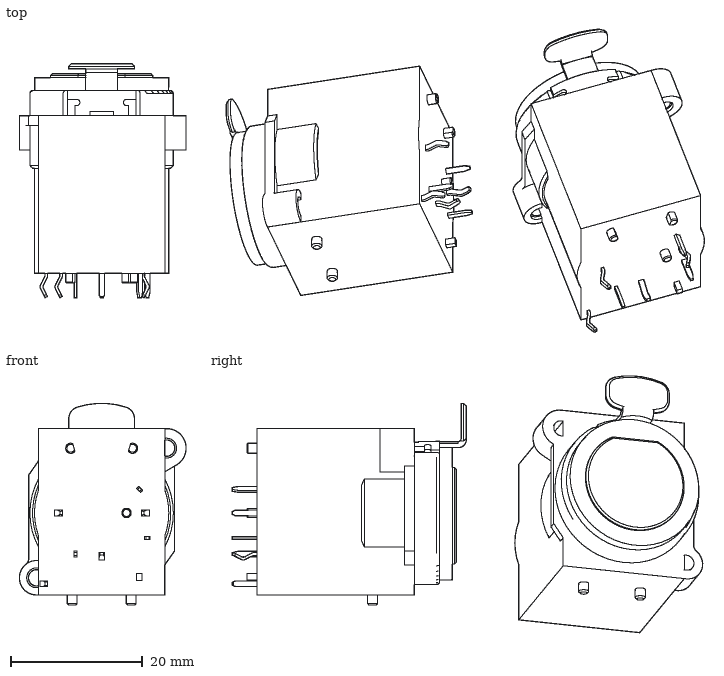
import cadquery as cq
import math


BODY_HALF_WIDTH = 9.57
BODY_TOP = 12.8
BODY_BOTTOM = -12.45
BODY_BACK = -23.9

BARREL_RADIUS = 10.18
BARREL_FRONT = 5.75
COLLAR_RADIUS = 10.87
COLLAR_FRONT = 3.83
COLLAR_BACK = -8.0
COLLAR_FRONT_FILLET = 0.5
COLLAR_BACK_CHAMFER = 0.4
FACE_DISK_RADIUS = 7.77
FACE_DISK_FRONT = 6.35
FACE_DISK_FLAT = 6.9
FACE_DISK_CHAMFER = 0.3

FLANGE_HALF_WIDTH = 11.07
FLANGE_THICKNESS = 1.5
FLANGE_CORNER_OUTER = 5.75
FLANGE_CORNER_INNER = 7.9
FLANGE_FILLET = 1.06
LUG_DEPTH = 5.25
UPPER_LUG_RADIUS = 2.97
UPPER_LUG = (9.85, BODY_TOP - UPPER_LUG_RADIUS)
LOWER_LUG_RADIUS = 2.62
LOWER_LUG = (-9.86, BODY_BOTTOM + LOWER_LUG_RADIUS)
UPPER_LUG_WEB_ANGLE = 30.0
MOUNT_HOLE_RADIUS = 1.22
MOUNT_RECESS_RADIUS = 1.5
MOUNT_RECESS_DEPTH = 0.5

GAP_HALF_WIDTH = 5.17
GAP_MOUTH_HALF_WIDTH = 5.83
BUTTON_FOOT_HALF_WIDTH = 4.05
NOTCH_BACK = 1.5
NOTCH_FRONT = 2.47
NOTCH_TIP = 3.3
BUTTON_RECESS_HALF_WIDTH = 1.8
BUTTON_RECESS_LENGTH = 0.6
BUTTON_RECESS_FLOOR = 10.6

TAB_STEM_WIDTH = 4.87
TAB_STEM_RADIUS = 10.8
TAB_FRONT = 7.86
TAB_THICKNESS = 0.8
TAB_TOP = 16.63
TAB_MID_HEIGHT = 13.65
TAB_HALF_WIDTH = 5.0
TAB_SIDE_HALF_HEIGHT = 0.95
TAB_CORNER_RADIUS = 1.9
TAB_INNER_BEND = 0.5
TAB_OUTER_BEND = 1.2
TAB_CHAMFER = 0.4

PEG_RADIUS = 0.77
ROUND_PEG_RADIUS = 0.71
PEG_LENGTH = 1.5
PEG_CHAMFER = 0.17
REAR_PEG_HEIGHT = 9.8
REAR_PEG_X = 4.68
REAR_PEG_FLAT_OFFSET = 0.48
REAR_PEG_FLAT_ANGLE = 16.0
ROUND_PEG = (3.77, 0.0)
BOTTOM_PEG_X = 4.47
BOTTOM_PEG_Y = -6.35
BOTTOM_PEG_LENGTH = 1.53
BOTTOM_PEG_CHAMFER = 0.25
KEY_BLOCK = (5.72, -9.7)
KEY_BLOCK_SIZE = (0.84, 1.05)

TERMINAL_WIDTH = 0.85
TERMINAL_THICKNESS = 0.43
TERMINAL_END = -27.63
KINKED_TAPER_LENGTH = 0.45
STRAIGHT_TAPER_LENGTH = 0.9
TERMINAL_ROOT = BODY_BACK + 0.5
KINK_START = -24.4
KINK_PEAK = -25.95
KINK_OFFSET = 0.78
KINK_FILLET = 0.45
KINKED_TERMINALS = [
    (-8.39, -10.73, 180.0),
    (-6.14, 0.0, 180.0),
    (6.26, 0.0, 0.0),
    (0.03, -6.2, 90.0),
]
STRAIGHT_TERMINALS = [
    (-3.96, -6.22, 0.0),
    (6.93, -3.8, 90.0),
    (5.77, 3.57, -45.0),
]


def section_plane(y):
    """Plane across the connector axis; it extrudes toward -Y."""
    return cq.Workplane("XZ", origin=(0, y, 0))


def cylinder(radius, front, back, center=(0, 0)):
    return section_plane(front).center(*center).circle(radius).extrude(front - back)


def make_body():
    height = BODY_TOP - BODY_BOTTOM
    middle = (BODY_TOP + BODY_BOTTOM) / 2
    block = section_plane(0).center(0, middle).rect(2 * BODY_HALF_WIDTH, height).extrude(-BODY_BACK)
    return block.union(cylinder(BARREL_RADIUS, BARREL_FRONT, BODY_BACK))


def make_collar():
    collar = cylinder(COLLAR_RADIUS, COLLAR_FRONT, COLLAR_BACK)
    collar = collar.faces(">Y").edges().fillet(COLLAR_FRONT_FILLET)
    collar = collar.faces("<Y").edges().chamfer(COLLAR_BACK_CHAMFER)
    floor_side = math.sqrt(BARREL_RADIUS**2 - GAP_HALF_WIDTH**2)
    mouth_side = math.sqrt(COLLAR_RADIUS**2 - GAP_MOUTH_HALF_WIDTH**2)
    gap = (
        section_plane(COLLAR_FRONT)
        .polyline([
            (-GAP_HALF_WIDTH, floor_side),
            (-GAP_MOUTH_HALF_WIDTH, mouth_side),
            (-GAP_MOUTH_HALF_WIDTH, COLLAR_RADIUS),
            (GAP_MOUTH_HALF_WIDTH, COLLAR_RADIUS),
            (GAP_MOUTH_HALF_WIDTH, mouth_side),
            (GAP_HALF_WIDTH, floor_side),
        ])
        .close()
        .extrude(COLLAR_FRONT)
        .cut(cylinder(BARREL_RADIUS, COLLAR_FRONT, 0))
    )
    return collar.cut(gap)


def make_button():
    notch_radius = (NOTCH_FRONT - NOTCH_BACK) / 2
    notch_middle = (NOTCH_FRONT + NOTCH_BACK) / 2
    notch_side = NOTCH_TIP + notch_radius
    outline = (
        cq.Workplane("XY")
        .moveTo(-BUTTON_FOOT_HALF_WIDTH, 0)
        .lineTo(BUTTON_FOOT_HALF_WIDTH, 0)
        .lineTo(BUTTON_FOOT_HALF_WIDTH, NOTCH_BACK)
        .lineTo(notch_side, NOTCH_BACK)
        .threePointArc((NOTCH_TIP, notch_middle), (notch_side, NOTCH_FRONT))
        .lineTo(GAP_HALF_WIDTH, NOTCH_FRONT)
        .lineTo(GAP_HALF_WIDTH, COLLAR_FRONT)
        .lineTo(-GAP_HALF_WIDTH, COLLAR_FRONT)
        .lineTo(-GAP_HALF_WIDTH, NOTCH_FRONT)
        .lineTo(-notch_side, NOTCH_FRONT)
        .threePointArc((-NOTCH_TIP, notch_middle), (-notch_side, NOTCH_BACK))
        .lineTo(-BUTTON_FOOT_HALF_WIDTH, NOTCH_BACK)
        .close()
        .extrude(COLLAR_RADIUS)
    )
    recess = (
        cq.Workplane("XY", origin=(0, 0, BUTTON_RECESS_FLOOR))
        .rect(2 * BUTTON_RECESS_HALF_WIDTH, 2 * BUTTON_RECESS_LENGTH)
        .extrude(COLLAR_RADIUS)
    )
    return outline.intersect(cylinder(COLLAR_RADIUS, COLLAR_FRONT, 0)).cut(recess)


def make_tab_stem():
    """Curved strip along the barrel, bent up into the root of the tab plate."""
    plate_back = TAB_FRONT - TAB_THICKNESS
    bend_start = plate_back - TAB_INNER_BEND
    inner_bend_height = TAB_STEM_RADIUS + TAB_INNER_BEND
    underside = math.sqrt(BARREL_RADIUS**2 - (TAB_STEM_WIDTH / 2) ** 2)
    outer_side = TAB_FRONT - TAB_OUTER_BEND
    outer_height = underside + TAB_OUTER_BEND
    diagonal = math.sqrt(0.5)
    inner_mid = (
        bend_start + TAB_INNER_BEND * diagonal,
        inner_bend_height - TAB_INNER_BEND * diagonal,
    )
    outer_mid = (
        outer_side + TAB_OUTER_BEND * diagonal,
        outer_height - TAB_OUTER_BEND * diagonal,
    )
    stem = (
        cq.Workplane("YZ")
        .moveTo(COLLAR_FRONT, underside)
        .lineTo(outer_side, underside)
        .threePointArc(outer_mid, (TAB_FRONT, outer_height))
        .lineTo(TAB_FRONT, inner_bend_height)
        .lineTo(plate_back, inner_bend_height)
        .threePointArc(inner_mid, (bend_start, TAB_STEM_RADIUS))
        .lineTo(COLLAR_FRONT, TAB_STEM_RADIUS)
        .close()
        .extrude(TAB_STEM_WIDTH / 2, both=True)
    )
    straight_zone = section_plane(bend_start).rect(4 * COLLAR_RADIUS, 4 * COLLAR_RADIUS).extrude(bend_start)
    above_stem = straight_zone.cut(cylinder(TAB_STEM_RADIUS, bend_start, 0))
    return stem.cut(above_stem).cut(cylinder(BARREL_RADIUS, TAB_FRONT, 0))


def make_tab_plate():
    half_height = TAB_TOP - TAB_MID_HEIGHT
    shoulder = TAB_SIDE_HALF_HEIGHT + TAB_CORNER_RADIUS / 2
    plate = (
        section_plane(TAB_FRONT)
        .center(0, TAB_MID_HEIGHT)
        .moveTo(-TAB_HALF_WIDTH, -shoulder)
        .lineTo(-TAB_HALF_WIDTH, shoulder)
        .threePointArc((0, half_height), (TAB_HALF_WIDTH, shoulder))
        .lineTo(TAB_HALF_WIDTH, -shoulder)
        .threePointArc((0, -half_height), (-TAB_HALF_WIDTH, -shoulder))
        .close()
        .extrude(TAB_THICKNESS)
        .edges("|Y")
        .fillet(TAB_CORNER_RADIUS)
    )
    plate = plate.faces(">Y").edges().chamfer(TAB_CHAMFER)
    bend_zone = section_plane(TAB_FRONT).rect(TAB_STEM_WIDTH, 2 * (TAB_STEM_RADIUS + TAB_INNER_BEND))
    return plate.cut(bend_zone.extrude(TAB_THICKNESS))


def make_face_disk():
    disk = cylinder(FACE_DISK_RADIUS, FACE_DISK_FRONT, 0)
    flat = (
        section_plane(FACE_DISK_FRONT)
        .center(0, FACE_DISK_FLAT + FACE_DISK_RADIUS)
        .rect(2 * FACE_DISK_RADIUS, 2 * FACE_DISK_RADIUS)
        .extrude(FACE_DISK_FRONT)
    )
    return disk.cut(flat).faces(">Y").edges().chamfer(FACE_DISK_CHAMFER)


def make_flange():
    """Plate with two cut corners, flared into the lower lug."""
    half = FLANGE_HALF_WIDTH
    plate = (
        section_plane(0)
        .polyline([
            (-half, FLANGE_CORNER_OUTER),
            (-BODY_HALF_WIDTH, FLANGE_CORNER_INNER),
            (BODY_HALF_WIDTH, UPPER_LUG[1]),
            (half, UPPER_LUG[1]),
            (half, -FLANGE_CORNER_OUTER),
            (BODY_HALF_WIDTH, -FLANGE_CORNER_INNER),
            (-BODY_HALF_WIDTH, LOWER_LUG[1]),
            (-half, LOWER_LUG[1]),
        ])
        .close()
        .extrude(FLANGE_THICKNESS)
    )
    plate = plate.union(cylinder(LOWER_LUG_RADIUS, 0, -FLANGE_THICKNESS, LOWER_LUG))
    reach = half + LOWER_LUG[0]
    joint_height = LOWER_LUG[1] + math.sqrt(LOWER_LUG_RADIUS**2 - reach**2)
    joint = cq.NearestToPointSelector((-half, -FLANGE_THICKNESS / 2, joint_height))
    return plate.edges("|Y").edges(joint).fillet(FLANGE_FILLET)


def make_lugs():
    upper = cylinder(UPPER_LUG_RADIUS, 0, -LUG_DEPTH, UPPER_LUG)
    lower = cylinder(LOWER_LUG_RADIUS, 0, -LUG_DEPTH, LOWER_LUG)
    angle = math.radians(UPPER_LUG_WEB_ANGLE)
    tangent_x = UPPER_LUG[0] + UPPER_LUG_RADIUS * math.sin(angle)
    tangent_z = UPPER_LUG[1] - UPPER_LUG_RADIUS * math.cos(angle)
    wall_z = tangent_z - (tangent_x - BODY_HALF_WIDTH) * math.tan(angle)
    web = (
        section_plane(0)
        .polyline([
            UPPER_LUG,
            (tangent_x, tangent_z),
            (BODY_HALF_WIDTH, wall_z),
            (BODY_HALF_WIDTH, UPPER_LUG[1]),
        ])
        .close()
        .extrude(LUG_DEPTH)
    )
    return upper.union(web).union(lower)


def mounting_hole(center):
    hole = cylinder(MOUNT_HOLE_RADIUS, 0, -LUG_DEPTH, center)
    recess = cylinder(MOUNT_RECESS_RADIUS, MOUNT_RECESS_DEPTH - LUG_DEPTH, -LUG_DEPTH, center)
    return hole.union(recess)


def rear_peg(center, radius):
    peg = cylinder(radius, BODY_BACK, BODY_BACK - PEG_LENGTH, center)
    return peg.faces("<Y").edges().chamfer(PEG_CHAMFER)


def flatted_peg(side):
    """Rear peg with a flat that faces the middle of the part and slightly upward."""
    center = (side * REAR_PEG_X, REAR_PEG_HEIGHT)
    flat_turn = REAR_PEG_FLAT_ANGLE if side < 0 else 180 - REAR_PEG_FLAT_ANGLE
    cutter = (
        section_plane(BODY_BACK)
        .transformed(offset=(center[0], center[1], 0), rotate=(0, 0, flat_turn))
        .center(REAR_PEG_FLAT_OFFSET + PEG_RADIUS, 0)
        .rect(2 * PEG_RADIUS, 4 * PEG_RADIUS)
        .extrude(PEG_LENGTH)
    )
    return rear_peg(center, PEG_RADIUS).cut(cutter)


def bottom_peg(x):
    peg = (
        cq.Workplane("XY", origin=(x, BOTTOM_PEG_Y, BODY_BOTTOM))
        .circle(PEG_RADIUS)
        .extrude(-BOTTOM_PEG_LENGTH)
    )
    return peg.faces("<Z").edges().chamfer(BOTTOM_PEG_CHAMFER)


def key_block():
    return section_plane(BODY_BACK).center(*KEY_BLOCK).rect(*KEY_BLOCK_SIZE).extrude(PEG_LENGTH)


def sweep_strip(path):
    """Flat strip of even section along a path in the XY plane."""
    profile = section_plane(TERMINAL_ROOT).rect(TERMINAL_THICKNESS, TERMINAL_WIDTH)
    return profile.sweep(path, transition="right")


def straight_strip():
    path = cq.Workplane("XY").polyline([(0, TERMINAL_ROOT), (0, TERMINAL_END)])
    return sweep_strip(path)


def kinked_strip():
    """Strip bent sideways to a peak and back again, with rounded bends."""
    tip = TERMINAL_END + TERMINAL_THICKNESS / 4
    path = cq.Workplane("XY").polyline([
        (0, TERMINAL_ROOT),
        (0, KINK_START),
        (KINK_OFFSET, KINK_PEAK),
        (0, tip),
    ])
    reach = KINK_OFFSET + TERMINAL_WIDTH
    bends = cq.selectors.BoxSelector(
        (-reach, KINK_START + TERMINAL_THICKNESS, -reach),
        (reach, KINK_PEAK - TERMINAL_THICKNESS, reach),
    )
    return sweep_strip(path).edges("|Z").edges(bends).fillet(KINK_FILLET)


def terminal(strip, taper_length, x, z, turn):
    """Taper the tip of a strip, turn it about Y and set it in place."""
    half = TERMINAL_WIDTH / 2
    taper_start = TERMINAL_END + taper_length
    side_outline = (
        cq.Workplane("YZ")
        .polyline([
            (TERMINAL_ROOT, -half),
            (TERMINAL_ROOT, half),
            (taper_start, half),
            (TERMINAL_END, half / 2),
            (TERMINAL_END, -half / 2),
            (taper_start, -half),
        ])
        .close()
        .extrude(KINK_OFFSET + TERMINAL_WIDTH, both=True)
    )
    return strip.intersect(side_outline).rotate((0, 0, 0), (0, 1, 0), turn).translate((x, 0, z))


def make_terminals():
    kinked = [terminal(kinked_strip(), KINKED_TAPER_LENGTH, *place) for place in KINKED_TERMINALS]
    straight = [terminal(straight_strip(), STRAIGHT_TAPER_LENGTH, *place) for place in STRAIGHT_TERMINALS]
    return kinked + straight


mounting = make_flange().union(make_lugs())
for lug_center in (UPPER_LUG, LOWER_LUG):
    mounting = mounting.cut(mounting_hole(lug_center))

part = make_body().union(mounting)
part = part.union(make_collar()).union(make_button()).union(make_face_disk())
part = part.union(make_tab_stem().union(make_tab_plate()))
for peg_side in (-1, 1):
    part = part.union(flatted_peg(peg_side)).union(bottom_peg(peg_side * BOTTOM_PEG_X))
part = part.union(rear_peg(ROUND_PEG, ROUND_PEG_RADIUS)).union(key_block())
for solder_terminal in make_terminals():
    part = part.union(solder_terminal)

result = part